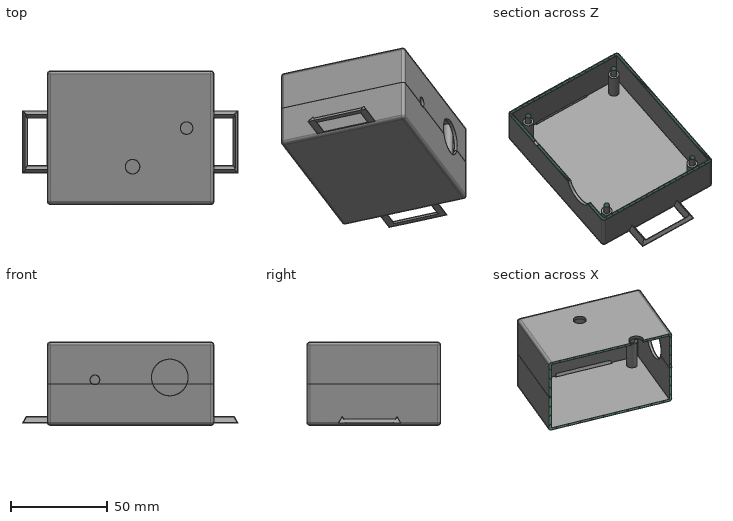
import cadquery as cq
import math

box_length = 86.2
box_width = 69.2
box_height = 43.2
wall = 1.6
edge_radius = 1.6
half_width = box_width / 2
half_height = box_height / 2
cavity_length = box_length - 2 * wall
cavity_width = box_width - 2 * wall
cavity_height = box_height - 2 * wall
floor_z = -cavity_height / 2
ceiling_z = cavity_height / 2

hole_start = 2 * wall
hole_cut_length = 3 * wall
large_front_diameter = 19
large_front_center = (20.3, 3.25)
small_front_diameter = 5
small_front_center = (-18.5, 2.0)
large_top_diameter = 7.5
large_top_center = (1.0, -15)
small_top_diameter = 6.5
small_top_center = (29, 5)

post_diameter = 5.5
post_inset = 6
post_points = [
    (side_x * (cavity_length / 2 - post_inset), side_y * (cavity_width / 2 - post_inset))
    for side_x in (-1, 1)
    for side_y in (-1, 1)
]
base_post_top = -5
lid_post_bottom = 0.8
pin_diameter = 3
pin_hole_diameter = 3.35
pin_engagement = 5
pin_end_clearance = 1

overall_length = 111.5
loop_length = 15.1
loop_center_x = -0.2
loop_center_y = -2.15
loop_width = 32.2
loop_side_bar = 3.8
loop_end_bar = 2.5
loop_base_z = -20.3
loop_taper = 30
loop_height = loop_side_bar / 2 / math.tan(math.radians(loop_taper))


def make_box(length, width, height):
    return cq.Workplane("XY").box(length, width, height)


def half_space(side):
    """Block filling everything above (side = 1) or below (side = -1) the parting plane."""
    return make_box(2 * box_length, 2 * box_width, box_height).translate((0, 0, side * box_height / 2))


def make_shell():
    outside = make_box(box_length, box_width, box_height).edges().fillet(edge_radius)
    return outside.cut(make_box(cavity_length, cavity_width, cavity_height))


def front_hole(center, diameter):
    x, z = center
    return (
        cq.Workplane("XZ", origin=(x, -half_width + hole_start, z))
        .circle(diameter / 2)
        .extrude(hole_cut_length)
    )


def top_hole(center, diameter):
    x, y = center
    return (
        cq.Workplane("XY", origin=(x, y, half_height - hole_start))
        .circle(diameter / 2)
        .extrude(hole_cut_length)
    )


def corner_cylinders(diameter, bottom_z, top_z):
    return (
        cq.Workplane("XY", origin=(0, 0, bottom_z))
        .pushPoints(post_points)
        .circle(diameter / 2)
        .extrude(top_z - bottom_z)
    )


def tapered_block(length, width, end_length, end_width):
    """Block as high as the strap loops, blending from its base size to its end size."""
    return (
        cq.Workplane("XY")
        .rect(length, width)
        .workplane(offset=loop_height)
        .rect(end_length, end_width)
        .loft()
    )


def strap_loop(side):
    opening_length = loop_length - 2 * loop_end_bar
    opening_width = loop_width - 2 * loop_side_bar
    outside = tapered_block(
        loop_length, loop_width, loop_length - loop_side_bar, loop_width - loop_side_bar
    )
    opening = tapered_block(
        opening_length, opening_width, opening_length + loop_side_bar, opening_width + loop_side_bar
    )
    center_x = loop_center_x + side * (overall_length - loop_length) / 2
    return outside.cut(opening).translate((center_x, loop_center_y, loop_base_z))


def make_base(shell):
    base = shell.intersect(half_space(-1))
    base = base.union(corner_cylinders(post_diameter, floor_z, base_post_top))
    hole_bottom = base_post_top - pin_engagement - pin_end_clearance
    base = base.cut(corner_cylinders(pin_hole_diameter, hole_bottom, base_post_top))
    for side in (-1, 1):
        base = base.union(strap_loop(side))
    return base


def make_lid(shell):
    lid = shell.intersect(half_space(1))
    lid = lid.cut(top_hole(large_top_center, large_top_diameter))
    lid = lid.cut(top_hole(small_top_center, small_top_diameter))
    lid = lid.union(corner_cylinders(post_diameter, lid_post_bottom, ceiling_z))
    return lid.union(corner_cylinders(pin_diameter, base_post_top - pin_engagement, lid_post_bottom))


shell = make_shell()
shell = shell.cut(front_hole(large_front_center, large_front_diameter))
shell = shell.cut(front_hole(small_front_center, small_front_diameter))
base = make_base(shell)
lid = make_lid(shell)

result = cq.Compound.makeCompound([base.val(), lid.val()])